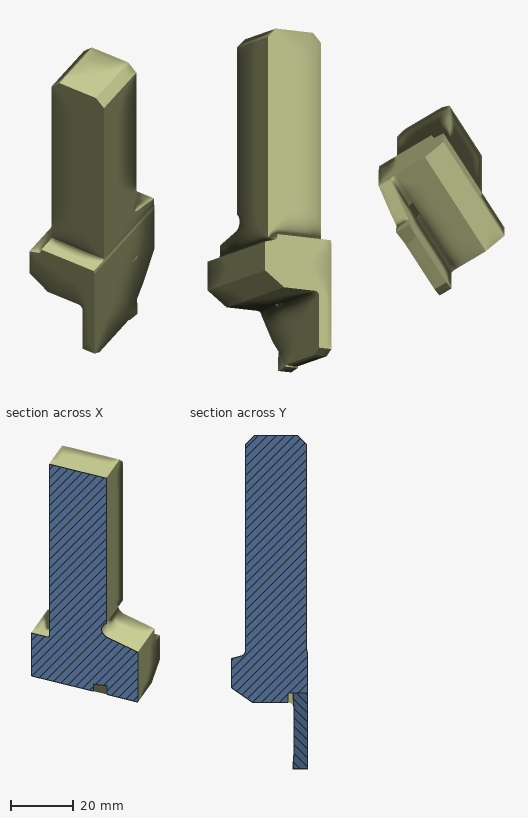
import cadquery as cq
import math

height = 107.7
depth = 37.3
overall_width = 24.8

shank_left = 4.5
shank_right = 24.3
shank_front = 6.2
shank_back = 26.3
shank_end_chamfer = 3.0

block_right = 24.6
block_top = 38.8
block_bottom = 21.5
block_left_top = 35.9
block_left_bottom = 26.4
block_bottom_left = 7.0
block_corner_z = 37.7
shoulder_angle = math.radians(15)
shoulder_fillet = 1.7
shank_root_y = 0.5
shank_root_z = 0.3

relief_radius = 2.9
relief_y = 27.5
relief_z = 47.2

blade_left = 20.0
blade_bottom = 1.2
blade_fillet = 1.6
blade_chamfer_y = 3.1
blade_chamfer_z = 1.8
blade_back_top = 20.0
blade_knee_y = 30.2
blade_knee_z = 10.2

insert_length = 25.0
insert_front = 21.8
insert_rake_face = shank_back
insert_ridge = 27.6
insert_end_relief = 0.6
ridge_start = 7.6
ridge_bevel = ridge_start - (insert_ridge - insert_rake_face)

head_width = overall_width - 19.8
head_root_width = block_right - blade_left
head_length = 4.6
head_root_y = 24.2
head_tip_y = 22.7
insert_centre_x = overall_width - head_width / 2


def front_outline():
    """Holder outline in XZ, extruded through the full depth."""
    shoulder_z = block_left_top + shank_left * math.tan(shoulder_angle)
    outline = (
        cq.Workplane("XZ")
        .moveTo(0, block_left_bottom)
        .lineTo(0, block_left_top)
        .lineTo(shank_left, shoulder_z)
        .lineTo(shank_left, height - shank_end_chamfer)
        .lineTo(shank_left + shank_end_chamfer, height)
        .lineTo(shank_right - shank_end_chamfer, height)
        .lineTo(shank_right, height - shank_end_chamfer)
        .lineTo(shank_right, block_top)
        .lineTo(block_right, block_corner_z)
        .lineTo(block_right, 0)
        .lineTo(blade_left, 0)
        .lineTo(blade_left, block_bottom)
        .lineTo(block_bottom_left, block_bottom)
        .close()
        .extrude(-depth)
    )
    shoulder_edge = cq.selectors.NearestToPointSelector((shank_left, depth / 2, shoulder_z))
    blade_edge = cq.selectors.NearestToPointSelector((blade_left, depth / 2, block_bottom))
    outline = outline.edges(shoulder_edge).fillet(shoulder_fillet)
    return outline.edges(blade_edge).fillet(blade_fillet)


def side_outline():
    """Holder outline in YZ, extruded through the full width."""
    relief_top = relief_z + math.sqrt(relief_radius**2 - (relief_y - shank_back) ** 2)
    ledge_y = relief_y - relief_radius * math.sin(shoulder_angle)
    ledge_z = relief_z - relief_radius * math.cos(shoulder_angle)
    ledge_end_z = ledge_z - (depth - ledge_y) * math.tan(shoulder_angle)
    return (
        cq.Workplane("YZ")
        .moveTo(shank_front, height)
        .lineTo(shank_back, height)
        .lineTo(shank_back, relief_top)
        .threePointArc((relief_y - relief_radius, relief_z), (ledge_y, ledge_z))
        .lineTo(depth, ledge_end_z)
        .lineTo(depth, blade_back_top)
        .lineTo(blade_knee_y, blade_knee_z)
        .lineTo(insert_ridge, ridge_start)
        .lineTo(insert_front, ridge_start)
        .lineTo(insert_front, blade_bottom)
        .lineTo(blade_chamfer_y, blade_bottom)
        .lineTo(0, blade_bottom + blade_chamfer_z)
        .lineTo(0, block_top)
        .lineTo(shank_front - shank_root_y, block_top)
        .lineTo(shank_front, block_top + shank_root_z)
        .close()
        .extrude(overall_width)
    )


def insert_prism(left, right):
    """Insert side profile extruded between two X positions."""
    profile = [
        (insert_front, insert_end_relief),
        (insert_rake_face, 0),
        (insert_rake_face, ridge_bevel),
        (insert_ridge, ridge_start),
        (insert_ridge, insert_length - ridge_start),
        (insert_rake_face, insert_length - ridge_bevel),
        (insert_rake_face, insert_length),
        (insert_front, insert_length - insert_end_relief),
    ]
    return cq.Workplane("YZ", origin=(left, 0, 0)).polyline(profile).close().extrude(right - left)


def head_section(half_width, root_y):
    """Points of a horizontal head section that narrows to the blade width at root_y."""
    half_root = head_root_width / 2
    return [
        (insert_centre_x - half_width, insert_rake_face),
        (insert_centre_x + half_width, insert_rake_face),
        (insert_centre_x + half_root, root_y),
        (insert_centre_x - half_root, root_y),
    ]


def cutting_head():
    """Lower cutting head, tapering in width upward and away from the rake face."""
    tip_half_width = head_width / 2
    taper = (head_width - head_root_width) / 2 / (insert_rake_face - head_tip_y)
    top_half_width = head_root_width / 2 + taper * (insert_rake_face - head_root_y)
    flare = (
        cq.Workplane("XY")
        .polyline(head_section(tip_half_width, head_tip_y))
        .close()
        .workplane(offset=head_length)
        .polyline(head_section(top_half_width, head_root_y))
        .close()
        .loft(ruled=True)
    )
    return flare.intersect(insert_prism(0, overall_width))


def make_insert():
    lower_head = cutting_head()
    upper_head = lower_head.mirror("XY", (0, 0, insert_length / 2))
    return insert_prism(blade_left, block_right).union(lower_head).union(upper_head)


def make_holder():
    seat = insert_prism(blade_left - blade_fillet, overall_width)
    return front_outline().intersect(side_outline()).cut(seat)


holder = make_holder()
cutting_insert = make_insert()
result = cq.Compound.makeCompound([*holder.solids().vals(), *cutting_insert.solids().vals()])